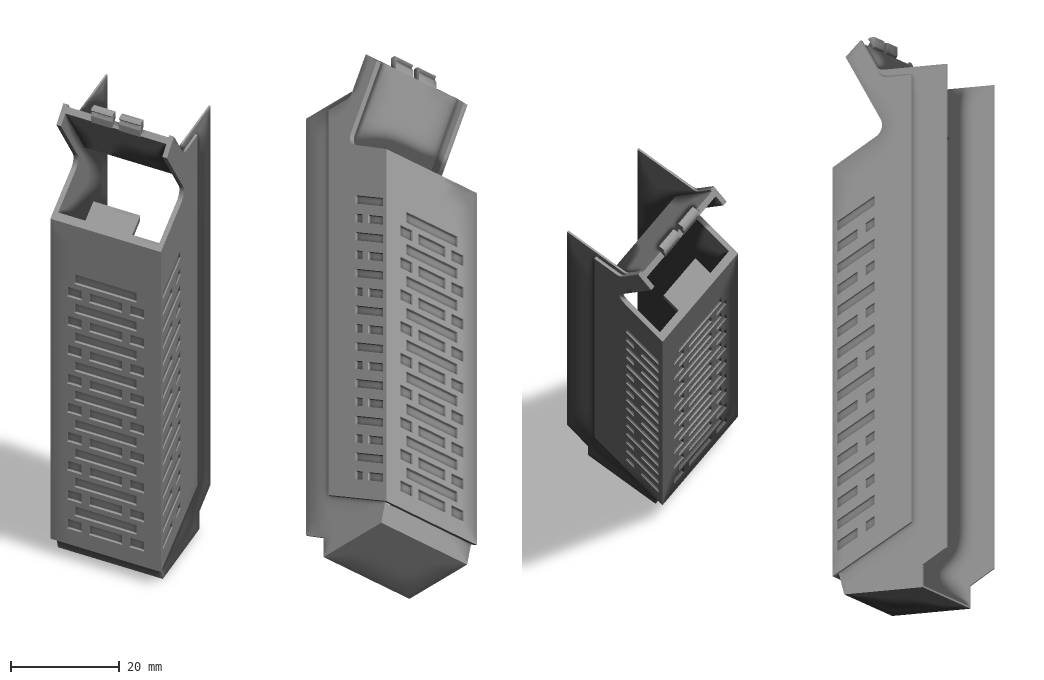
import cadquery as cq
import math

shell_width = 22.5
sheet_width = 21.3
cavity_width = 20.6

total_depth = 22.8
total_height = 105.5
front_wall = 1.4
sheet_thickness = 0.37

rim_angle = 30
rim_slope = math.tan(math.radians(rim_angle))
handle_slope = math.tan(math.radians(90 - rim_angle))
shell_bottom = 3.5
shell_back = 15.9
shell_back_bottom = 12.3
shell_back_top = 96.3
rim_front_height = 80.3
throat_depth = 10.9
throat_height = rim_front_height + throat_depth * rim_slope
throat_radius = 2.3

tip_front_y = 2.6
tip_front_z = throat_height + (throat_depth - tip_front_y) * handle_slope
tip_back_y = 5.7
tip_back_z = 103.7
tip_slope = (tip_back_z - tip_front_z) / (tip_back_y - tip_front_y)
root_radius = 1.7
panel_recess = 0.4
panel_thickness = 1.3
panel_bottom = 88.0

sheet_top = 97.9
sheet_back_bottom = 7.1
foot_back = 17.9
foot_back_height = 4.2
foot_front = 2.1
lip_top_y = 1.1
lip_top_z = 3.9

tongue_width = 9.5
tongue_depth = 4.9
tongue_thickness = 1.3

hook_width = 4.3
hook_offset = 2.8
hook_front_y = 4.3
hook_notch_y = 4.7
hook_nose_z = 105.2
hook_notch_z = 104.6
hook_shoulder_z = 103.9

slot_depth = 0.58
front_slot_pairs = 9
front_row_pitch = 3.5
front_slot_height = 2.3
front_first_z = 7.2
front_long_half = 6.3
front_middle_half = 3.4
front_outer_start = 4.9
front_outer_end = 7.8
side_slot_pairs = 8
side_row_pitch = 4.0
side_slot_height = 1.8
side_first_z = 7.6
side_slot_angle = 29
side_slot_slope = math.tan(math.radians(side_slot_angle))
side_slot_front = 1.0
side_slot_gap_front = 5.1
side_slot_gap_back = 6.6
side_slot_back = 8.5


def plate(points, x_start, x_end):
    """Extrude an outline of (y, z) points from x_start to x_end."""
    return cq.Workplane("YZ", origin=(x_start, 0, 0)).polyline(points).close().extrude(x_end - x_start)


def mirrored_plates(points, inner_x, outer_x):
    """The same plate on both sides of the housing."""
    return plate(points, inner_x, outer_x).union(plate(points, -outer_x, -inner_x))


def centred_plate(points, width):
    return plate(points, -width / 2, width / 2)


def handle_root_y(z):
    """Depth at which the back of the handle reaches height z."""
    return tip_back_y + (tip_back_z - z) / handle_slope


def side_walls(lower_front, top_z, back_points, outer_x):
    """Side walls with a rounded throat below the handle and a rounded root behind it."""
    root_y = handle_root_y(top_z)
    outline = lower_front + [
        (throat_depth, throat_height),
        (tip_front_y, tip_front_z),
        (tip_back_y, tip_back_z),
        (root_y, top_z),
    ] + back_points
    walls = mirrored_plates(outline, cavity_width / 2, outer_x)
    pick_margin = 0.1
    for y, z, radius in [(throat_depth, throat_height, throat_radius), (root_y, top_z, root_radius)]:
        near_corner = (-outer_x, y - pick_margin, z - pick_margin)
        far_corner = (outer_x, y + pick_margin, z + pick_margin)
        corner = cq.selectors.BoxSelector(near_corner, far_corner)
        walls = walls.edges("|X").edges(corner).fillet(radius)
    return walls


def shell_sides():
    lower_front = [(0, shell_bottom), (0, rim_front_height)]
    back_points = [(shell_back, shell_back_top), (shell_back, shell_back_bottom)]
    return side_walls(lower_front, shell_back_top, back_points, shell_width / 2)


def sheet_sides():
    lower_front = [
        (foot_front, 0),
        (lip_top_y, lip_top_z),
        (lip_top_y, rim_front_height + lip_top_y * rim_slope),
    ]
    back_points = [
        (total_depth, sheet_top),
        (total_depth, sheet_back_bottom),
        (foot_back, foot_back_height),
        (foot_back, 0),
    ]
    return side_walls(lower_front, sheet_top, back_points, sheet_width / 2)


def front_face():
    outline = [
        (0, shell_bottom),
        (0, rim_front_height),
        (front_wall, rim_front_height + front_wall * rim_slope),
        (front_wall, shell_bottom + front_wall * rim_slope),
    ]
    return centred_plate(outline, shell_width)


def foot():
    """Floor of the inner sheet and the lip that joins it to the front wall."""
    lip_lean = (foot_front - lip_top_y) / lip_top_z
    floor_inner_y = foot_front + sheet_thickness - lip_lean * sheet_thickness
    outline = [
        (foot_front, 0),
        (lip_top_y, lip_top_z),
        (lip_top_y + sheet_thickness, lip_top_z),
        (floor_inner_y, sheet_thickness),
        (foot_back, sheet_thickness),
        (foot_back, 0),
    ]
    return centred_plate(outline, sheet_width)


def handle_panel():
    """Panel between the sides, sunk below the back of the handle and square at its lower end."""
    sine = math.sin(math.radians(rim_angle))
    cosine = math.cos(math.radians(rim_angle))

    def tip_point(sink):
        """Point on the tip edge at a distance sink from the back of the handle."""
        run = sink / (cosine + tip_slope * sine)
        return (tip_back_y - run, tip_back_z - run * tip_slope)

    back_tip = tip_point(panel_recess)
    front_tip = tip_point(panel_recess + panel_thickness)
    front_end = (front_tip[0] + (front_tip[1] - panel_bottom) / handle_slope, panel_bottom)
    back_end = (front_end[0] + panel_thickness * cosine, panel_bottom + panel_thickness * sine)
    return centred_plate([back_tip, front_tip, front_end, back_end], cavity_width)


def tongue():
    top_z = rim_front_height + tongue_depth * rim_slope
    outline = [
        (0, rim_front_height),
        (tongue_depth, top_z),
        (tongue_depth, top_z - tongue_thickness),
        (0, rim_front_height - tongue_thickness),
    ]
    return centred_plate(outline, tongue_width)


def hooks():
    outline = [
        (tip_back_y, tip_back_z),
        (tip_back_y, total_height),
        (hook_notch_y, total_height),
        (hook_front_y, hook_nose_z),
        (hook_notch_y, hook_notch_z),
        (hook_front_y, hook_shoulder_z),
        (hook_front_y, tip_back_z - (tip_back_y - hook_front_y) * tip_slope),
    ]
    pair = cq.Workplane()
    for centre in (-hook_offset, hook_offset):
        pair = pair.union(plate(outline, centre - hook_width / 2, centre + hook_width / 2))
    return pair


def front_slots():
    """Level slots in the front face."""
    short_row = [
        (-front_outer_end, -front_outer_start),
        (-front_middle_half, front_middle_half),
        (front_outer_start, front_outer_end),
    ]
    long_row = [(-front_long_half, front_long_half)]
    slots = cq.Workplane()
    for row in range(2 * front_slot_pairs):
        bottom = front_first_z + row * front_row_pitch
        top = bottom + front_slot_height
        outline = [(0, bottom), (0, top), (slot_depth, top), (slot_depth, bottom)]
        spans = long_row if row % 2 else short_row
        for x_start, x_end in spans:
            slots = slots.add(plate(outline, x_start, x_end))
    return slots.combine()


def side_slots():
    """Sloped slots in both sides, rising towards the back."""
    short_row = [(side_slot_front, side_slot_gap_front), (side_slot_gap_back, side_slot_back)]
    long_row = [(side_slot_front, side_slot_back)]
    slots = cq.Workplane()
    for row in range(2 * side_slot_pairs):
        row_z = side_first_z + row * side_row_pitch
        spans = long_row if row % 2 else short_row
        for y_start, y_end in spans:
            start_z = row_z + y_start * side_slot_slope
            end_z = row_z + y_end * side_slot_slope
            outline = [
                (y_start, start_z),
                (y_end, end_z),
                (y_end, end_z + side_slot_height),
                (y_start, start_z + side_slot_height),
            ]
            slots = slots.add(mirrored_plates(outline, shell_width / 2 - slot_depth, shell_width / 2))
    return slots.combine()


housing = shell_sides().union(sheet_sides()).union(front_face()).union(foot())
housing = housing.union(handle_panel()).union(tongue()).union(hooks())
result = housing.cut(front_slots()).cut(side_slots())